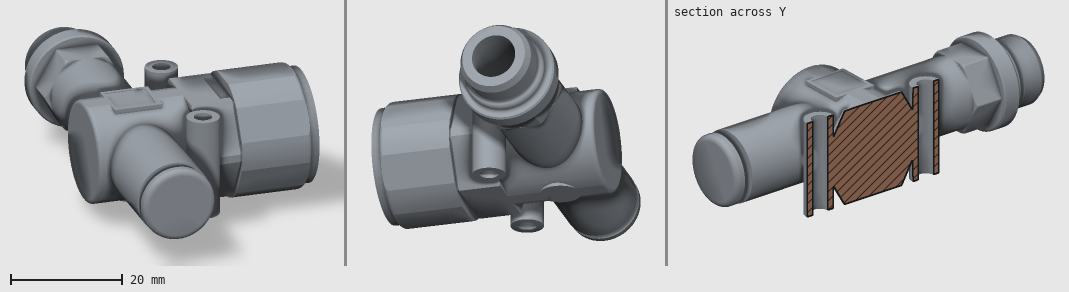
import cadquery as cq
import math


half_height = 9.31
tube_diameter = 13.8
tube_left = -25.05
tube_right = 25.1
hub_diameter = 18.9
hub_front = -8.9
hub_back = 9.35
hub_fillet = 0.8
collar_back = 17.05
collar_half_width = 11.5
collar_corner_half_height = 0.7
collar_side_angle = 60
post_diameter = 6.0
post_hole_diameter = 3.3
post_offset_x = 12.05
post_y = 9.8

frame_width = 8.6
frame_length = 9.0
frame_center_y = 0.15
frame_depth = 1.05
label_width = 7.1
label_length = 7.5
label_recess = 0.15

pad_diameter = 7.4
pad_depth = 1.05

step_length = 0.35
step_inset = 0.4
notch_floor_width = 9.5
notch_length = 1.85

nut_front = collar_back + step_length
nut_hex_back = 30.65
nut_back = 32.2
nut_across_flats = 22.0
nut_corner_diameter = 22.95
nut_fillet = 0.85
nut_rim_diameter = 21.25

stud_left = -42.1
stud_bore_diameter = 8.1
tip_diameter = 11.7
thread_diameter = 13.2
shoulder_diameter = 11.7
neck_diameter = 11.1
tip_chamfer_length = 1.3
thread_right = -37.2
shoulder_right = -36.7
seal_diameter = 14.9
seal_thickness = 1.7
flange_left = -34.3
flange_right = -30.8
flange_diameter = 17.85
flange_chamfer = 0.3
hex_across_flats = 13.65
hex_corner_diameter = 15.65
hex_fillet = 0.6

sleeve_neck_diameter = 9.2
sleeve_rim_left = 26.75
sleeve_right = 28.7
sleeve_rim_diameter = 13.6
sleeve_fillet = 1.05


def cylinder_x(diameter, start, end):
    return cq.Workplane("YZ", origin=(start, 0, 0)).circle(diameter / 2).extrude(end - start)


def cylinder_y(diameter, start, end):
    return cq.Workplane("XZ", origin=(0, start, 0)).circle(diameter / 2).extrude(start - end)


def across_corners(across_flats):
    return across_flats / math.cos(math.pi / 6)


def collar_outline(inset, start, end):
    """Flattened hexagon across the Y axis, with its pointed sides cut off."""
    half_width = collar_half_width - inset
    top = half_height - inset
    corner = collar_corner_half_height
    flat_half_width = half_width - (top - corner) / math.tan(math.radians(collar_side_angle))
    right_half = [(flat_half_width, top), (half_width, corner), (half_width, -corner), (flat_half_width, -top)]
    left_half = [(-x, -z) for x, z in right_half]
    section = cq.Workplane("XZ", origin=(0, start, 0)).polyline(right_half + left_half).close()
    return section.extrude(start - end)


def make_hub():
    hub = cylinder_y(hub_diameter, hub_front, hub_back).faces("<Y").edges().fillet(hub_fillet)
    slab = cq.Workplane("XY").box(hub_diameter, 2 * hub_diameter, 2 * half_height)
    return hub.intersect(slab)


def make_label_frame():
    frame = (
        cq.Workplane("XY", origin=(0, frame_center_y, half_height))
        .rect(frame_width, frame_length)
        .extrude(-frame_depth)
    )
    label = cq.Workplane("XY", origin=(0, 0, half_height)).rect(label_width, label_length).extrude(-label_recess)
    return frame, label


def make_bottom_pad():
    return cq.Workplane("XY", origin=(0, 0, -half_height)).circle(pad_diameter / 2).extrude(pad_depth)


def make_notch():
    """Shallow pocket with 45 degree ends, level with the step at the back of the collar."""
    floor_z = half_height - step_inset
    floor_x = notch_floor_width / 2
    mouth_x = floor_x + step_inset
    outline = [(-floor_x, floor_z), (floor_x, floor_z), (mouth_x, half_height), (-mouth_x, half_height)]
    return cq.Workplane("XZ", origin=(0, collar_back, 0)).polyline(outline).close().extrude(notch_length)


def make_housing():
    post_centers = [(-post_offset_x, post_y), (post_offset_x, post_y)]
    post_plane = cq.Workplane("XY", origin=(0, 0, -half_height)).pushPoints(post_centers)
    posts = post_plane.circle(post_diameter / 2).extrude(2 * half_height)
    post_holes = post_plane.circle(post_hole_diameter / 2).extrude(2 * half_height)
    frame, label = make_label_frame()
    return (
        cylinder_x(tube_diameter, tube_left, tube_right)
        .union(make_hub())
        .union(collar_outline(0, hub_back, collar_back))
        .union(collar_outline(step_inset, collar_back, nut_front))
        .union(posts)
        .union(frame)
        .union(make_bottom_pad())
        .cut(label)
        .cut(make_notch())
        .cut(post_holes)
    )


def make_end_piece():
    hexagon = (
        cq.Workplane("XZ", origin=(0, nut_front, 0))
        .polygon(6, across_corners(nut_across_flats))
        .extrude(nut_front - nut_hex_back)
    )
    turned_blank = (
        cylinder_y(nut_corner_diameter, nut_front, nut_hex_back)
        .faces(">Y")
        .edges()
        .fillet(nut_fillet)
    )
    rim = cylinder_y(nut_rim_diameter, nut_hex_back, nut_back)
    return hexagon.intersect(turned_blank).union(rim)


def make_stud_hexagon():
    hexagon = (
        cq.Workplane("YZ", origin=(flange_right, 0, 0))
        .polygon(6, across_corners(hex_across_flats))
        .extrude(tube_left - flange_right)
    )
    turned_blank = (
        cylinder_x(hex_corner_diameter, flange_right, tube_left)
        .faces(">X")
        .edges()
        .fillet(hex_fillet)
    )
    return hexagon.intersect(turned_blank)


def make_stud():
    seal_left = flange_left - seal_thickness
    seal_top = seal_diameter / 2
    seal_shoulder = seal_top - seal_thickness / 2
    threaded_end = (
        cq.Workplane("XY")
        .moveTo(stud_left, 0)
        .lineTo(stud_left, tip_diameter / 2)
        .lineTo(stud_left + tip_chamfer_length, thread_diameter / 2)
        .lineTo(thread_right, thread_diameter / 2)
        .lineTo(shoulder_right, shoulder_diameter / 2)
        .lineTo(seal_left, neck_diameter / 2)
        .lineTo(seal_left, seal_shoulder)
        .threePointArc((flange_left - seal_thickness / 2, seal_top), (flange_left, seal_shoulder))
        .lineTo(flange_left, 0)
        .close()
        .revolve(360, (0, 0, 0), (1, 0, 0))
    )
    flange = cylinder_x(flange_diameter, flange_left, flange_right).edges().chamfer(flange_chamfer)
    bore = cylinder_x(stud_bore_diameter, stud_left, tube_left)
    return threaded_end.union(flange).union(make_stud_hexagon()).cut(bore)


def make_release_sleeve():
    neck = cylinder_x(sleeve_neck_diameter, tube_right, sleeve_rim_left)
    rim = cylinder_x(sleeve_rim_diameter, sleeve_rim_left, sleeve_right)
    return neck.union(rim.faces(">X").edges().fillet(sleeve_fillet))


housing = make_housing()
end_piece = make_end_piece()
stud = make_stud()
release_sleeve = make_release_sleeve()

result = cq.Compound.makeCompound([housing.val(), end_piece.val(), stud.val(), release_sleeve.val()])